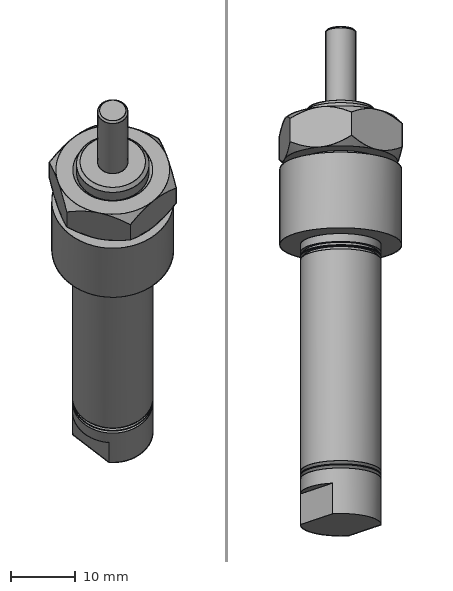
import cadquery as cq
import math

total_height = 79.25
neck_top = 66.6
nut_bottom = 58.2
nut_height = 6.4
collar_top = 57.0
collar_bottom = 44.85

tube_radius = 12.45 / 2
collar_radius = 18.8 / 2
neck_radius = 11.2 / 2
neck_chamfer = 0.55

upper_crimp_top = 43.6
lower_crimp_top = 8.5
crimp_groove_width = 0.515
crimp_land_width = 0.15
crimp_groove_pitch = crimp_groove_width + crimp_land_width
crimp_groove_depth = 0.5
grooves_per_crimp = 2

flat_spacing = 9.7
flat_height = 4.9

rod_radius = 4.7 / 2
rod_chamfer = 0.3

nut_corner_diameter = 20.2
nut_across_flats = nut_corner_diameter * math.cos(math.pi / 6)
nut_face_radius = nut_across_flats / 2
nut_bevel_height = 1.35
countersink_radius = 12.3 / 2
countersink_depth = countersink_radius - neck_radius


def cylinder(radius, bottom, top):
    return cq.Workplane("XY").workplane(offset=bottom).circle(radius).extrude(top - bottom)


def revolve_profile(points):
    """Revolve a closed (radius, height) outline around Z."""
    return cq.Workplane("XZ").polyline(points).close().revolve(360, (0, 0), (0, 1))


def sawtooth_groove(top, shoulder_height):
    """Ring-shaped cutter, deepest at its square shoulder and running out along a cone."""
    return revolve_profile([
        (tube_radius, top),
        (tube_radius - crimp_groove_depth, shoulder_height),
        (tube_radius, top - crimp_groove_width),
    ])


def make_housing():
    tube = cylinder(tube_radius, 0, collar_bottom)
    for index in range(grooves_per_crimp):
        groove_shift = index * crimp_groove_pitch
        upper_top = upper_crimp_top - groove_shift
        lower_top = lower_crimp_top - groove_shift
        tube = tube.cut(sawtooth_groove(upper_top, upper_top))
        tube = tube.cut(sawtooth_groove(lower_top, lower_top - crimp_groove_width))

    between_flats = cq.Workplane("XY").rect(2 * tube_radius, flat_spacing).extrude(flat_height)
    flat_cutter = cylinder(2 * tube_radius, 0, flat_height).cut(between_flats)
    tube = tube.cut(flat_cutter)

    collar = cylinder(collar_radius, collar_bottom, collar_top)
    neck = cylinder(neck_radius, collar_top, neck_top).faces(">Z").chamfer(neck_chamfer)
    return tube.union(collar).union(neck)


def make_rod():
    """Piston rod standing on the end face of the neck."""
    return cylinder(rod_radius, neck_top, total_height).faces(">Z").chamfer(rod_chamfer)


def make_nut():
    nut_top = nut_bottom + nut_height
    corner_radius = nut_corner_diameter / 2
    hexagon = (
        cq.Workplane("XY").workplane(offset=nut_bottom)
        .transformed(rotate=(0, 0, 90))
        .polygon(6, nut_corner_diameter)
        .extrude(nut_height)
    )

    envelope = revolve_profile([
        (neck_radius, nut_bottom + countersink_depth),
        (countersink_radius, nut_bottom),
        (nut_face_radius, nut_bottom),
        (corner_radius, nut_bottom + nut_bevel_height),
        (corner_radius, nut_top - nut_bevel_height),
        (nut_face_radius, nut_top),
        (countersink_radius, nut_top),
        (neck_radius, nut_top - countersink_depth),
    ])
    return hexagon.intersect(envelope)


housing = make_housing()
rod = make_rod()
nut = make_nut()

result = cq.Compound.makeCompound([housing.val(), rod.val(), nut.val()])